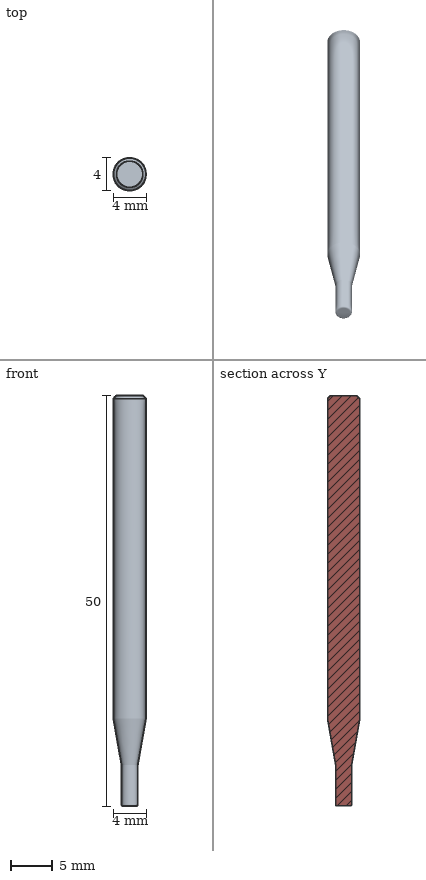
import cadquery as cq
import math

total_length = 50.0
shank_diameter = 4.0
tip_diameter = 2.0

tip_length = 5.0
taper_half_angle = 10.0
shank_chamfer = 0.4
tip_fillet = 0.2

shank_radius = shank_diameter / 2
tip_radius = tip_diameter / 2
bottom = 0.0
top = bottom + total_length
taper_length = (shank_radius - tip_radius) / math.tan(math.radians(taper_half_angle))
taper_start = bottom + tip_length
taper_end = taper_start + taper_length

half_section = (
    cq.Workplane("XZ")
    .moveTo(0, bottom)
    .lineTo(tip_radius, bottom)
    .lineTo(tip_radius, taper_start)
    .lineTo(shank_radius, taper_end)
    .lineTo(shank_radius, top)
    .lineTo(0, top)
    .close()
)
body = half_section.revolve(360, (0, 0, 0), (0, 1, 0))

body = body.faces(">Z").edges().chamfer(shank_chamfer)
result = body.faces("<Z").edges().fillet(tip_fillet)